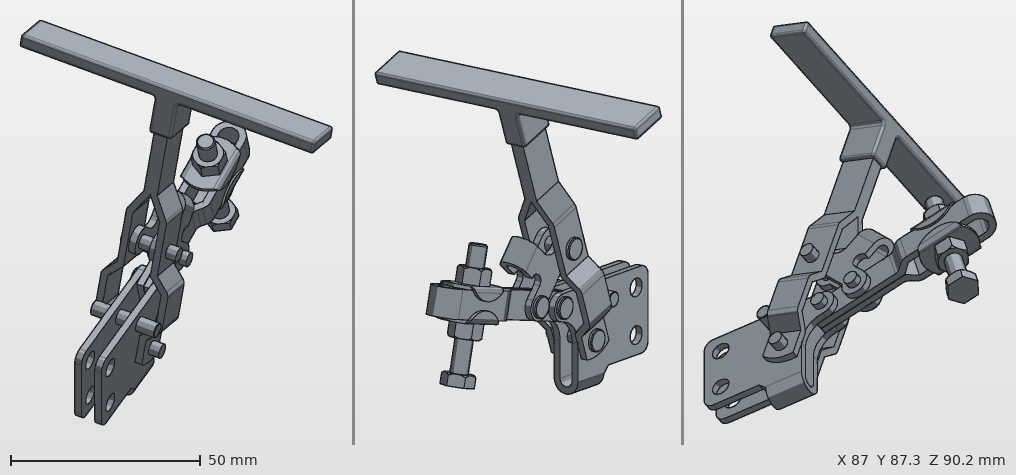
import cadquery as cq
import math


SHEET = 2.0
PLATE_OUTER = 2 * SHEET
FORK_OUTER = 3 * SHEET
FORK_WIDE = 5 * SHEET
EYE_R = 3.9

BASE_LENGTH = 30.2
BASE_BOTTOM = 5.7
BASE_CORNER_R = 2.9
FOOT_LENGTH = 11.2
FOOT_CHAMFER = 2.0
THROAT_R = 7.7
HOLE_R = 2.5
HOLE_Y = -25.1
HOLE_HEIGHTS = (11.2, 24.3)

ARM_PIVOT = (6.1, 25.8)
HANDLE_PIVOT = (-5.05, 14.7)
STOP_PIN = (-8.5, 25.7)

PIN_R = 2.0
PIN_HEAD_R = 3.1
PIN_HEAD = 1.0
PIN_HEAD_EDGE = 0.3
FORK_PIN_TAIL = 9.0
ARM_PIN_TAIL = 6.0
STOP_PIN_R = 2.1
STOP_PIN_HALF = 9.5
STOP_PIN_EDGE = 0.2

ARM_TILT = 14.0
ARM_WIDTH = 8.0
ARM_TOP = ARM_WIDTH / 2
ARM_GAP = 0.2
ARM_HALF = 4.8
ARM_TIP = 51.6
ARM_END = -3.6
NECK_START = 22.45
NECK_END = 25.25
NECK_INNER_BEND_R = 2.4
NECK_OUTER_BEND_R = 3.6
LINK_PIN_ON_ARM = 10.55

SPINDLE_X = -0.45
SPINDLE_Y = 37.1
SPINDLE_DIAMETER = 5.0
SPINDLE_TOP = 15.7
SPINDLE_BOTTOM = -22.4
SPINDLE_EDGE = 0.4
HEX_FLATS = 8.0
HEX_EDGE = 0.5
HEAD_HEIGHT = 3.4
NUT_HEIGHT = 4.5
SADDLE = 1.0
SADDLE_R = 8.2
SADDLE_HALF = 5.9
SADDLE_DEPTH = 3.8
SADDLE_BEND_R = 1.4

LINK_TILT = 40.2
LINK_PITCH = 18.1
LINK_BACK = -2.2
FINGER_BOTTOM = 4.4
FINGER_TOP = 12.2
FINGER_TIP = 15.8
FINGER_FILLET = 3.6
NOTCH_R = 2.1

HANDLE_TILT = 19.6
HANDLE_WIDTH = 10.0
HANDLE_HALF = HANDLE_WIDTH / 2
HANDLE_SIDE_END = -3.2
HANDLE_END = -4.3
UPPER_PIN = 29.0
FORK_BEND_R = 2.3
LOWER_BEND = (4.1, 8.1)
MIDDLE_BEND = (19.3, 23.5)
UPPER_BEND = (39.5, 46.35)

GRIP_LENGTH = 87.0
GRIP_HALF_DEPTH = 5.8
GRIP_TOP = 78.3
GRIP_BAR = 3.7
STEM_HALF = 3.25
STEM_BOTTOM = 63.85
STEM_FILLET = 1.0
GRIP_EDGE = 0.7


def across(radius, start, end, y=0.0, z=0.0):
    """Cylinder along X between two X positions."""
    return cq.Workplane("YZ", origin=(start, y, z)).circle(radius).extrude(end - start)


def block(x_range, y_range, z_range):
    """Box given by its limits on each axis."""
    sizes = [high - low for low, high in (x_range, y_range, z_range)]
    corner = (x_range[0], y_range[0], z_range[0])
    return cq.Workplane("XY", origin=corner).box(*sizes, centered=False)


def headed_pin(plate_outer, tail, y=0.0, z=0.0):
    """Pin with a flat head on the -X side and a plain tail on the +X side."""
    head = across(PIN_HEAD_R, -plate_outer - PIN_HEAD, -plate_outer, y, z)
    head = head.faces("<X").chamfer(PIN_HEAD_EDGE)
    return head.union(across(PIN_R, -plate_outer, tail, y, z))


def hairpin(plane, tip, open_end, half, height):
    """Sheet folded into a U about the plane's second axis; the fold ends at tip, legs at open_end."""
    facing = math.copysign(1, tip - open_end)

    def fold(radius):
        centre = tip - facing * half
        profile = (
            cq.Workplane(plane)
            .moveTo(-radius, open_end)
            .lineTo(-radius, centre)
            .threePointArc((0, centre + facing * radius), (radius, centre))
            .lineTo(radius, open_end)
            .close()
        )
        return profile.extrude(height, both=True)

    return fold(half).cut(fold(half - SHEET))


def inner_path(outer):
    """Path one sheet thickness inside an outer path that runs along its second axis."""
    normals = []
    for (x0, s0), (x1, s1) in zip(outer, outer[1:]):
        length = math.hypot(x1 - x0, s1 - s0)
        normals.append((-(s1 - s0) / length, (x1 - x0) / length))
    inner = []
    for (x, s), before, after in zip(outer, normals[:1] + normals, normals + normals[-1:]):
        stretch = SHEET / (1 + before[0] * after[0] + before[1] * after[1])
        inner.append((x + stretch * (before[0] + after[0]), s + stretch * (before[1] + after[1])))
    return inner


def bent_strip(plane, outer, half_width):
    """Bent sheet strip with the given outer path, spanning the plane's normal both ways."""
    outline = outer + inner_path(outer)[::-1]
    return cq.Workplane(plane).polyline(outline).close().extrude(half_width, both=True)


def make_base():
    pivot_y, pivot_z = ARM_PIVOT
    top = pivot_z + EYE_R
    hollow_drop = math.sqrt((EYE_R + THROAT_R) ** 2 - (THROAT_R - pivot_y) ** 2)
    hollow_z = pivot_z - hollow_drop
    share = EYE_R / (EYE_R + THROAT_R)
    touch = (pivot_y + share * (THROAT_R - pivot_y), pivot_z - share * hollow_drop)
    middle_angle = (math.pi + math.atan2(touch[1] - hollow_z, touch[0] - THROAT_R)) / 2
    hollow_middle = (
        THROAT_R + THROAT_R * math.cos(middle_angle),
        hollow_z + THROAT_R * math.sin(middle_angle),
    )
    outline = (
        cq.Workplane("YZ")
        .moveTo(0, 0)
        .lineTo(0, hollow_z)
        .threePointArc(hollow_middle, touch)
        .threePointArc((pivot_y + EYE_R, pivot_z), (pivot_y, top))
        .lineTo(-BASE_LENGTH, top)
        .lineTo(-BASE_LENGTH, BASE_BOTTOM)
        .lineTo(-FOOT_LENGTH, BASE_BOTTOM)
        .lineTo(-FOOT_LENGTH, 0)
        .close()
        .extrude(PLATE_OUTER, both=True)
    )
    outline = outline.edges("|X and <Y").fillet(BASE_CORNER_R)
    inside_corner = cq.selectors.NearestToPointSelector((0, -FOOT_LENGTH, BASE_BOTTOM))
    outline = outline.edges("|X").edges(inside_corner).chamfer(FOOT_CHAMFER)
    base = outline.intersect(hairpin("XZ", 0, top, PLATE_OUTER, BASE_LENGTH))
    for height in HOLE_HEIGHTS:
        base = base.cut(across(HOLE_R, -PLATE_OUTER, PLATE_OUTER, HOLE_Y, height))
    return base


def make_arm_sheet():
    nose_centre = ARM_TIP - ARM_HALF
    outer = [(SHEET, ARM_END), (SHEET, NECK_START), (ARM_HALF, NECK_END), (ARM_HALF, nose_centre)]
    leg = bent_strip("XY", outer, ARM_TOP)
    for (x, y), radius in zip(outer[1:3], (NECK_INNER_BEND_R, NECK_OUTER_BEND_R)):
        bend = cq.selectors.NearestToPointSelector((x, y, 0))
        leg = leg.edges("|Z").edges(bend).fillet(radius)
    nose = hairpin("XY", ARM_TIP, nose_centre - SHEET, ARM_HALF, ARM_TOP)
    sheet = leg.union(leg.mirror("YZ")).union(nose)
    slit = block((-ARM_GAP / 2, ARM_GAP / 2), (ARM_END, NECK_END), (-ARM_TOP, ARM_TOP))
    return sheet.cut(slit)


def make_saddle():
    """Washer folded down over both sides of the arm, resting on the arm's top face."""
    top = ARM_TOP + SADDLE
    x_limits = (SPINDLE_X - SADDLE_HALF, SPINDLE_X + SADDLE_HALF)
    y_limits = (SPINDLE_Y - SADDLE_R, SPINDLE_Y + SADDLE_R)
    edge = top - SADDLE_DEPTH
    inside = (x_limits[0] + SADDLE, x_limits[1] - SADDLE)
    channel = block(x_limits, y_limits, (edge, top)).edges("|Y and >Z").fillet(SADDLE_BEND_R)
    channel = channel.cut(block(inside, y_limits, (edge, ARM_TOP)))
    disc = cq.Workplane("XY", origin=(SPINDLE_X, SPINDLE_Y, ARM_TOP)).circle(SADDLE_R).extrude(SADDLE)
    web_shape = disc.intersect(block(inside, y_limits, (ARM_TOP, top)))
    flange_shape = across(SADDLE_R, *x_limits, SPINDLE_Y, edge + SADDLE_R)
    return channel.intersect(web_shape.union(flange_shape))


def make_hexagon(bottom, top, bevelled_face):
    """Hexagonal nut or head with its corners bevelled on one face."""
    corner_diameter = HEX_FLATS / math.cos(math.pi / 6)
    level = cq.Workplane("XY", origin=(SPINDLE_X, SPINDLE_Y, bottom))
    hexagon = level.transformed(rotate=(0, 0, 90)).polygon(6, corner_diameter).extrude(top - bottom)
    envelope = level.circle(corner_diameter / 2).extrude(top - bottom)
    return hexagon.intersect(envelope.faces(bevelled_face).chamfer(HEX_EDGE))


def make_spindle():
    shank = (
        cq.Workplane("XY", origin=(SPINDLE_X, SPINDLE_Y, SPINDLE_BOTTOM))
        .circle(SPINDLE_DIAMETER / 2)
        .extrude(SPINDLE_TOP - SPINDLE_BOTTOM)
        .faces(">Z")
        .chamfer(SPINDLE_EDGE)
    )
    upper_seat = ARM_TOP + SADDLE
    lower_seat = -ARM_TOP - SADDLE
    head = make_hexagon(SPINDLE_BOTTOM, SPINDLE_BOTTOM + HEAD_HEIGHT, ">Z")
    upper_nut = make_hexagon(upper_seat, upper_seat + NUT_HEIGHT, ">Z")
    lower_nut = make_hexagon(lower_seat - NUT_HEIGHT, lower_seat, "<Z")
    return shank.union(head).union(upper_nut).union(lower_nut)


def make_arm():
    saddle = make_saddle()
    lower_saddle = saddle.mirror("XY")
    arm = make_arm_sheet().union(saddle).union(lower_saddle).union(make_spindle())
    for y in (0, LINK_PIN_ON_ARM):
        arm = arm.union(headed_pin(PLATE_OUTER, ARM_PIN_TAIL, y))
    return arm.rotate((0, 0, 0), (1, 0, 0), ARM_TILT).translate((0, *ARM_PIVOT))


def make_link():
    x_limits = (-PLATE_OUTER, PLATE_OUTER)
    outline = block(x_limits, (LINK_BACK, EYE_R), (0, LINK_PITCH))
    outline = outline.union(block(x_limits, (LINK_BACK, FINGER_TIP), (FINGER_BOTTOM, FINGER_TOP)))
    finger_root = cq.selectors.NearestToPointSelector((0, EYE_R, FINGER_TOP))
    outline = outline.edges("|X").edges(finger_root).fillet(FINGER_FILLET)
    for z in (0, LINK_PITCH):
        outline = outline.union(across(EYE_R, *x_limits, 0, z))
    outline = outline.cut(across(NOTCH_R, *x_limits, EYE_R + NOTCH_R, FINGER_BOTTOM))
    link = outline.intersect(hairpin("XY", FINGER_TIP, -EYE_R, PLATE_OUTER, LINK_PITCH + EYE_R))
    tilt = math.radians(ARM_TILT)
    lower_joint = (
        0,
        ARM_PIVOT[0] + LINK_PIN_ON_ARM * math.cos(tilt),
        ARM_PIVOT[1] + LINK_PIN_ON_ARM * math.sin(tilt),
    )
    return link.rotate((0, 0, 0), (1, 0, 0), LINK_TILT).translate(lower_joint)


def make_grip():
    half = GRIP_LENGTH / 2
    bar_bottom = GRIP_TOP - GRIP_BAR
    grip = (
        cq.Workplane("XZ")
        .polyline([
            (-half, GRIP_TOP),
            (half, GRIP_TOP),
            (half, bar_bottom),
            (STEM_HALF, bar_bottom),
            (STEM_HALF, STEM_BOTTOM),
            (-STEM_HALF, STEM_BOTTOM),
            (-STEM_HALF, bar_bottom),
            (-half, bar_bottom),
        ])
        .close()
        .extrude(GRIP_HALF_DEPTH, both=True)
    )
    for x in (-STEM_HALF, STEM_HALF):
        corner = cq.selectors.NearestToPointSelector((x, 0, bar_bottom))
        grip = grip.edges("|Y").edges(corner).fillet(STEM_FILLET)
    return grip.edges().fillet(GRIP_EDGE)


def make_handle():
    outer = [
        (FORK_OUTER, HANDLE_END),
        (FORK_OUTER, LOWER_BEND[0]),
        (FORK_WIDE, LOWER_BEND[1]),
        (FORK_WIDE, MIDDLE_BEND[0]),
        (FORK_OUTER, MIDDLE_BEND[1]),
        (FORK_OUTER, UPPER_BEND[0]),
        (SHEET, UPPER_BEND[1]),
        (SHEET, GRIP_TOP - GRIP_BAR),
    ]
    leg = bent_strip("XZ", outer, HANDLE_HALF)
    for x, z in (outer[2], outer[3], outer[5]):
        bend = cq.selectors.NearestToPointSelector((x, 0, z))
        leg = leg.edges("|Y").edges(bend).fillet(FORK_BEND_R)
    side = (
        cq.Workplane("YZ")
        .moveTo(-HANDLE_HALF, GRIP_TOP)
        .lineTo(-HANDLE_HALF, HANDLE_SIDE_END)
        .threePointArc((0, HANDLE_END), (HANDLE_HALF, HANDLE_SIDE_END))
        .lineTo(HANDLE_HALF, GRIP_TOP)
        .close()
        .extrude(FORK_WIDE, both=True)
    )
    handle = leg.union(leg.mirror("YZ")).intersect(side).union(make_grip())
    for z in (0, UPPER_PIN):
        handle = handle.union(headed_pin(FORK_OUTER, FORK_PIN_TAIL, 0, z))
    return handle.rotate((0, 0, 0), (1, 0, 0), -HANDLE_TILT).translate((0, *HANDLE_PIVOT))


def make_stop_pin():
    pin = across(STOP_PIN_R, -STOP_PIN_HALF, STOP_PIN_HALF, *STOP_PIN)
    return pin.faces("<X or >X").chamfer(STOP_PIN_EDGE)


result = make_base().union(make_arm()).union(make_link()).union(make_handle()).union(make_stop_pin())